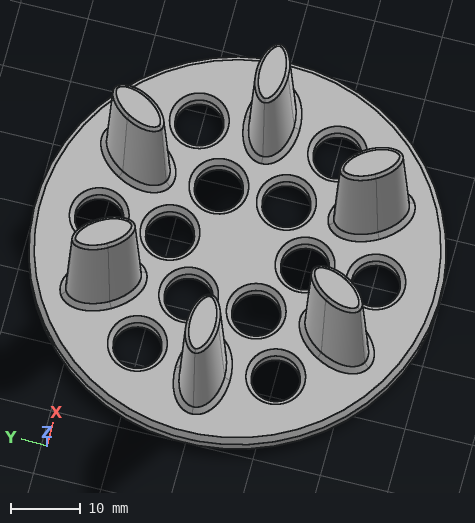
import cadquery as cq
import math

plate_diameter = 60.0
plate_thickness = 2.5
plate_chamfer = 0.8

hole_diameter = 7.0
hole_chamfer = 0.8
countersink_angle = 90.0
holes_per_ring = 6
inner_ring_radius = 10.0
outer_ring_radius = 20.5
first_hole_angle = 30.0

total_height = 22.5
peg_height = total_height - plate_thickness
peg_count = 6
peg_ring_radius = 20.0
peg_length = 11.2
peg_width = 6.55
peg_wall_inset = 0.95
peg_draft = math.degrees(math.atan(peg_wall_inset / peg_height))
peg_foot_chamfer = 0.8
peg_top_chamfer = 0.5


def make_plate():
    """Flat disc with a chamfered upper rim."""
    disc = cq.Workplane("XY").circle(plate_diameter / 2).extrude(plate_thickness)
    return disc.edges(">Z").chamfer(plate_chamfer)


def cut_hole_ring(plate, ring_radius):
    """Cut one ring of through holes, each countersunk from above."""
    countersink_diameter = hole_diameter + 2 * hole_chamfer
    return (
        plate.faces(">Z")
        .workplane(origin=(0, 0, plate_thickness))
        .polarArray(ring_radius, first_hole_angle, 360, holes_per_ring)
        .cskHole(hole_diameter, countersink_diameter, countersink_angle)
    )


def make_peg():
    """Tapered oval peg on the +X side of the plate, with its top edge chamfered."""
    return (
        cq.Workplane("XY")
        .workplane(offset=plate_thickness)
        .center(peg_ring_radius, 0)
        .ellipse(peg_length / 2, peg_width / 2)
        .extrude(peg_height, taper=peg_draft)
        .edges(">Z")
        .chamfer(peg_top_chamfer)
    )


def chamfer_peg_feet(body):
    """Fill the corner between each peg and the plate with a sloping band."""
    plate_top = body.faces(cq.NearestToPointSelector((0, 0, plate_thickness)))
    return plate_top.edges("not %CIRCLE").chamfer(peg_foot_chamfer)


body = make_plate()
for ring_radius in (inner_ring_radius, outer_ring_radius):
    body = cut_hole_ring(body, ring_radius)

peg = make_peg()
for index in range(peg_count):
    angle = index * 360 / peg_count
    body = body.union(peg.rotate((0, 0, 0), (0, 0, 1), angle))

result = chamfer_peg_feet(body)